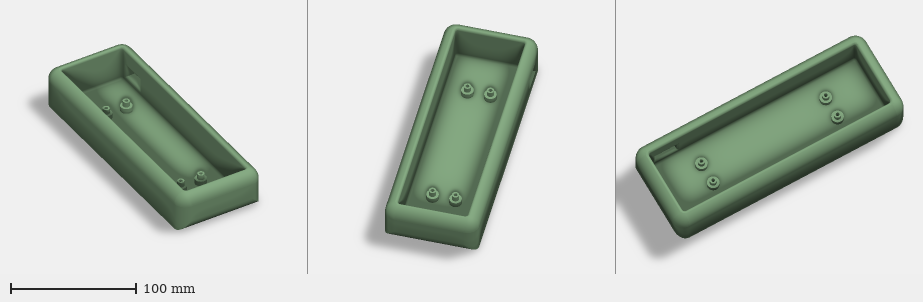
import cadquery as cq

length = 210.5
width = 77.3
height = 34.5

cavity_length = 190.5
wall = (length - cavity_length) / 2
cavity_width = width - 2 * wall
floor_thickness = 3.0
outer_radius = wall
inner_radius = 2.0

standoff_spacing_x = 114.3
standoff_spacing_y = 19.0
base_diameter = 10.0
base_height = 4.6
pin_diameter = 5.9
pin_height = 4.6
screw_hole_diameter = 3.0

window_width = 20.0
window_height = 10.0
window_right = -68.6
window_sill_above_floor = 5.9

pick_margin = 0.2


def edges_in_box(x_range, y_range, z_range):
    """Selector for the edges whose centers lie in a box, widened by the margin."""
    ranges = (x_range, y_range, z_range)
    low = [min(r) - pick_margin for r in ranges]
    high = [max(r) + pick_margin for r in ranges]
    return cq.selectors.BoxSelector(low, high)


def make_body():
    """Block rounded everywhere except along the two long bottom edges."""
    block = cq.Workplane("XY").box(length, width, height, centered=(True, True, False))
    upper_rounded = block.edges("|Z or >Z").fillet(outer_radius)
    ends_rounded_below = block.edges("|Y and <Z").fillet(outer_radius)
    return upper_rounded.intersect(ends_rounded_below)


def hollow_out(body):
    """Cut the cavity, then round its floor, its corners and the rim."""
    cavity = (
        cq.Workplane("XY", origin=(0, 0, floor_thickness))
        .rect(cavity_length, cavity_width)
        .extrude(height)
        .edges("|Z or <Z")
        .fillet(inner_radius)
    )
    rim = edges_in_box(
        (-cavity_length / 2, cavity_length / 2),
        (-cavity_width / 2, cavity_width / 2),
        (height, height),
    )
    return body.cut(cavity).edges(rim).fillet(inner_radius)


def cut_window(tray):
    """Cut the wall window and round its edges on the cavity side."""
    inner_face_y = cavity_width / 2
    left = window_right - window_width
    sill = floor_thickness + window_sill_above_floor
    window = (
        cq.Workplane("XY", origin=(left, inner_face_y - wall / 2, sill))
        .box(window_width, 2 * wall, window_height, centered=False)
    )
    inner_edges = edges_in_box(
        (left, window_right),
        (inner_face_y, inner_face_y),
        (sill, sill + window_height),
    )
    return tray.cut(window).edges(inner_edges).fillet(inner_radius)


def standoff_cylinders(diameter, top):
    """Cylinders from the underside up to a given height, one per standoff."""
    return (
        cq.Workplane("XY")
        .rect(standoff_spacing_x, standoff_spacing_y, forConstruction=True)
        .vertices()
        .circle(diameter / 2)
        .extrude(top)
    )


def add_standoffs(tray):
    """Add the standoffs and drill their screw holes through the floor."""
    base_top = floor_thickness + base_height
    pin_top = base_top + pin_height
    bases = standoff_cylinders(base_diameter, base_top)
    pins = standoff_cylinders(pin_diameter, pin_top)
    holes = standoff_cylinders(screw_hole_diameter, pin_top)
    return tray.union(bases).union(pins).cut(holes)


result = add_standoffs(cut_window(hollow_out(make_body())))